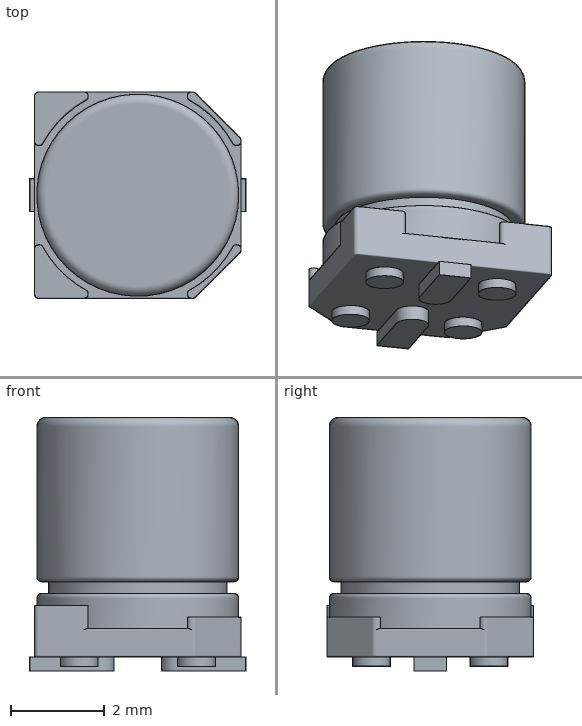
import cadquery as cq

height = 5.4
base_bottom = 0.3
web_top = 0.9
low_pad_top = 1.15
tall_pad_top = 1.4
groove_bottom = 1.65
groove_top = 1.9

can_diameter = 4.3
neck_diameter = 3.8
rim_radius = 0.2
groove_radius = 0.1

base_width = 4.4
corner_cut = 1.0
corner_radius = 0.095
edge_radius = 0.025
pocket_diameter = 4.6

foot_diameter = 0.8
foot_height = 0.2
foot_spacing = 2.5
lead_span = 4.6
lead_gap = 1.005
lead_width = 0.7

half_width = base_width / 2


def base_block(bottom, top):
    """Square block with its two +X corners cut off and its upright edges rounded."""
    return (
        cq.Workplane("XY", origin=(0, 0, bottom))
        .rect(base_width, base_width)
        .extrude(top - bottom)
        .edges("|Z and >X")
        .chamfer(corner_cut)
        .edges("|Z")
        .fillet(corner_radius)
    )


def corner_pad(x_side, y_side, top):
    """Corner post whose inner wall curves around the can and ends in rounded tips."""
    corner = (
        cq.Workplane("XY", origin=(0, 0, base_bottom))
        .rect(x_side * half_width, y_side * half_width, centered=False)
        .extrude(top - base_bottom)
    )
    pocket = cq.Workplane("XY").circle(pocket_diameter / 2).extrude(top)
    pad = corner.cut(pocket).edges("|Z").fillet(corner_radius)
    pad = pad.intersect(base_block((base_bottom + web_top) / 2, top))
    return pad.faces(">Z").edges().fillet(edge_radius)


def make_base():
    base = base_block(base_bottom, web_top).faces("<Z or >Z").edges().fillet(edge_radius)
    for x_side, top in ((-1, tall_pad_top), (1, low_pad_top)):
        for y_side in (-1, 1):
            base = base.union(corner_pad(x_side, y_side, top))
    return base


def make_can():
    """Can seated in the base, with a groove rolled in above the pads."""
    lower = (
        cq.Workplane("XY", origin=(0, 0, base_bottom + edge_radius))
        .circle(can_diameter / 2)
        .extrude(groove_bottom - base_bottom - edge_radius)
        .faces(">Z")
        .edges()
        .fillet(groove_radius)
    )
    neck = (
        cq.Workplane("XY", origin=(0, 0, groove_bottom))
        .circle(neck_diameter / 2)
        .extrude(groove_top - groove_bottom)
    )
    upper = (
        cq.Workplane("XY", origin=(0, 0, groove_top))
        .circle(can_diameter / 2)
        .extrude(height - groove_top)
        .faces(">Z")
        .edges()
        .fillet(rim_radius)
        .faces("<Z")
        .edges()
        .fillet(groove_radius)
    )
    return lower.union(neck).union(upper)


def make_feet():
    return (
        cq.Workplane("XY", origin=(0, 0, base_bottom - foot_height))
        .rect(foot_spacing, foot_spacing, forConstruction=True)
        .vertices()
        .circle(foot_diameter / 2)
        .extrude(foot_height)
    )


def make_lead(x_side):
    """Flat lead, square at the outer end and half-round at the inner end."""
    outer_x = x_side * lead_span / 2
    round_start_x = x_side * (lead_gap + lead_width) / 2
    return (
        cq.Workplane("XY")
        .moveTo(outer_x, -lead_width / 2)
        .lineTo(round_start_x, -lead_width / 2)
        .threePointArc((x_side * lead_gap / 2, 0), (round_start_x, lead_width / 2))
        .lineTo(outer_x, lead_width / 2)
        .close()
        .extrude(base_bottom)
    )


result = make_base().union(make_can()).union(make_feet())
for side in (-1, 1):
    result = result.union(make_lead(side))